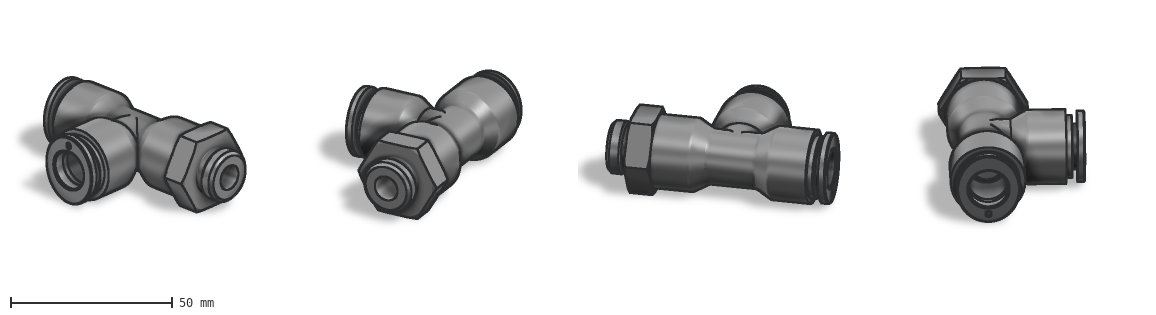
import cadquery as cq
import math

overall_length = 70.3
x_axis = ((0, 0, 0), (1, 0, 0))
edge_tolerance = 0.035

socket_outer_radius = 23.2 / 2
waist_radius = 17.4 / 2
housing_reach = 24.75
shoulder_reach = 12.65
cone_angle = math.radians(30)
cone_length = (socket_outer_radius - waist_radius) / math.tan(cone_angle)
waist_reach = shoulder_reach - cone_length
shoulder_fillet = 1.7
waist_fillet = 2.0

flow_radius = 10.0 / 2
tube_radius = 12.2 / 2
stud_bore_radius = 8.0 / 2

collar_radius = 19.6 / 2
collar_length = 2.0
collar_chamfer = 0.2
collar_reach = housing_reach + collar_length

neck_radius = 14.2 / 2
sleeve_bore_radius = 12.15 / 2
sleeve_reach = 30.6
flange_thickness = 2.25
flange_width = 2 * collar_radius
flange_height = 22.65
flange_chamfer = 0.35
sleeve_mouth_chamfer = 0.5
marker_diameter = 2.0
marker_offset = 8.45
marker_depth = 1.0

hex_across_flats = 24.0
hex_length = 7.9
hex_end = housing_reach + hex_length
hex_corner_radius = hex_across_flats / math.sqrt(3)
hex_face_radius = 12.6
hex_bevel = 0.4
stud_end = overall_length - sleeve_reach
stud_neck_radius = 14.6 / 2
stud_neck_fillet = 0.5
thread_radius = 16.65 / 2
thread_start = 35.0
thread_flank_length = 0.6
thread_tip_chamfer = 1.1


def ring(start, end, outer_radius, inner_radius):
    """Ring around the X axis, from x = start to x = end."""
    return (
        cq.Workplane("YZ", origin=(start, 0, 0))
        .circle(outer_radius)
        .circle(inner_radius)
        .extrude(end - start)
    )


def rod(start, end, radius):
    """Solid cylinder around the X axis, from x = start to x = end."""
    return cq.Workplane("YZ", origin=(start, 0, 0)).circle(radius).extrude(end - start)


def to_branch(body):
    """Turns a body of the -X port onto the -Y port."""
    return body.rotate((0, 0, 0), (0, 0, 1), 90)


def to_left_port(body):
    """Gives the -X port body its half turn, which puts the marker below the axis."""
    return body.rotate(*x_axis, 180)


def edges_at(reach):
    """Selects the round edges that lie in the plane x = reach."""
    low = (reach - edge_tolerance, -hex_across_flats, -hex_across_flats)
    high = (reach + edge_tolerance, hex_across_flats, hex_across_flats)
    return cq.selectors.BoxSelector(low, high, boundingbox=True)


def make_arm():
    """Arm of the housing from the origin to the -X port: waist, cone and socket barrel."""
    outline = (
        cq.Workplane("XY")
        .moveTo(0, 0)
        .lineTo(0, waist_radius)
        .lineTo(-waist_reach, waist_radius)
        .lineTo(-shoulder_reach, socket_outer_radius)
        .lineTo(-housing_reach, socket_outer_radius)
        .lineTo(-housing_reach, 0)
        .close()
    )
    arm = outline.revolve(360, *x_axis)
    return arm.edges("%CIRCLE").edges(edges_at(-shoulder_reach)).fillet(shoulder_fillet)


def make_housing():
    arm = make_arm()
    run_arm = arm.edges("%CIRCLE").edges(edges_at(-waist_reach)).fillet(waist_fillet)
    socket = rod(-housing_reach, -shoulder_reach, tube_radius)
    branch_flow = to_branch(rod(-housing_reach, 0, flow_radius))
    return (
        run_arm.union(run_arm.mirror("YZ"))
        .union(to_branch(arm))
        .cut(rod(-housing_reach, housing_reach, flow_radius))
        .cut(branch_flow)
        .cut(socket)
        .cut(to_branch(socket))
    )


def make_collar():
    collar = ring(-collar_reach, -housing_reach, collar_radius, tube_radius)
    return collar.faces("<X").edges(cq.selectors.RadiusNthSelector(-1)).chamfer(collar_chamfer)


def make_sleeve():
    front = cq.Workplane("YZ", origin=(-sleeve_reach, 0, 0))
    flange = front.ellipse(flange_width / 2, flange_height / 2).extrude(flange_thickness)
    flange = flange.faces("<X").edges().chamfer(flange_chamfer)
    sleeve = flange.union(rod(-sleeve_reach + flange_thickness, -collar_reach, neck_radius))
    sleeve = sleeve.cut(rod(-sleeve_reach, -collar_reach, sleeve_bore_radius))
    sleeve = sleeve.faces("<X").edges("%CIRCLE").chamfer(sleeve_mouth_chamfer)
    marker = front.center(0, marker_offset).circle(marker_diameter / 2).extrude(marker_depth)
    return sleeve.cut(marker)


def make_hexagon():
    """Hexagon with corners on the Y axis, bevelled at both ends."""
    prism = (
        cq.Workplane("YZ", origin=(housing_reach, 0, 0))
        .polygon(6, 2 * hex_corner_radius)
        .extrude(hex_length)
    )
    bevel_envelope = (
        cq.Workplane("XY")
        .moveTo(housing_reach, 0)
        .lineTo(housing_reach, hex_face_radius)
        .lineTo(housing_reach + hex_bevel, hex_corner_radius)
        .lineTo(hex_end - hex_bevel, hex_corner_radius)
        .lineTo(hex_end, hex_face_radius)
        .lineTo(hex_end, 0)
        .close()
        .revolve(360, *x_axis)
    )
    return prism.intersect(bevel_envelope)


def thread_barrel():
    """Plain barrel of the thread: a sloped flank at the neck and a chamfer at the tip."""
    return (
        cq.Workplane("XY")
        .moveTo(thread_start, 0)
        .lineTo(thread_start, stud_neck_radius)
        .lineTo(thread_start + thread_flank_length, thread_radius)
        .lineTo(stud_end - thread_tip_chamfer, thread_radius)
        .lineTo(stud_end, thread_radius - thread_tip_chamfer)
        .lineTo(stud_end, 0)
        .close()
        .revolve(360, *x_axis)
    )


def make_stud():
    stud = make_hexagon().union(rod(hex_end, thread_start, stud_neck_radius))
    stud = stud.edges("%CIRCLE").edges(edges_at(hex_end)).fillet(stud_neck_fillet)
    return stud.union(thread_barrel()).cut(rod(housing_reach, stud_end, stud_bore_radius))


housing = make_housing()
stud = make_stud()
port_placements = [to_left_port, to_branch]
collars = [place(make_collar()) for place in port_placements]
sleeves = [place(make_sleeve()) for place in port_placements]

result = cq.Compound.makeCompound(
    [housing.val(), stud.val()]
    + [collar.val() for collar in collars]
    + [sleeve.val() for sleeve in sleeves]
)